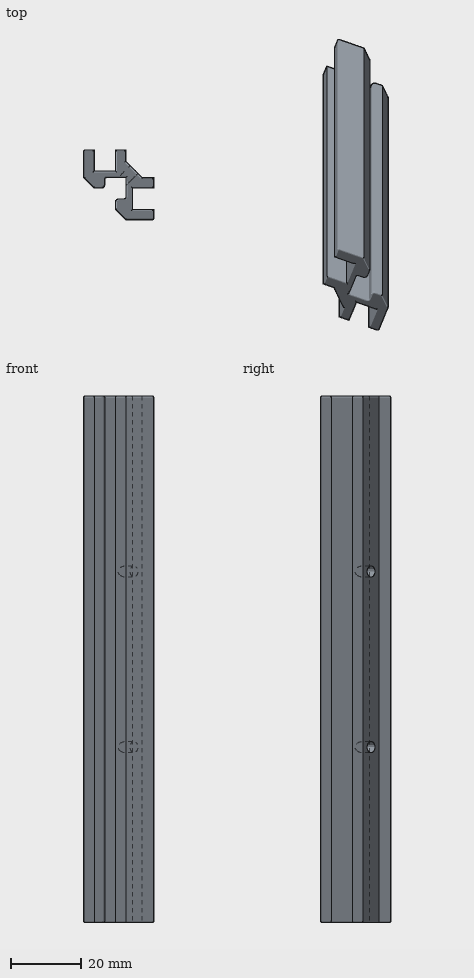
import cadquery as cq

length = 150.0
lip = 3.0
slot_width = 6.0
slot_depth = 6.0
web = 2.0
bevel_setback = 3.3
mouth_radius = 1.0
edge_radius = 0.48
hole_diameter = 3.2
hole_count = 2

slot_far = lip + slot_width
channel_inner = slot_far + lip
channel_outer = channel_inner - slot_width
slot_floor = channel_inner + web
side = slot_floor + slot_depth

channel_corner = (channel_outer, channel_inner)
channel_mouth = (channel_outer, slot_far)
lip_tip = (0, side)


def mirrored(points):
    """Reflect points about the line x = y, keeping the outline order."""
    return [(y, x) for x, y in reversed(points)]


def make_bar():
    """Extrude the sharp-edged profile."""
    half_outline = [
        channel_corner,
        channel_mouth,
        (lip, slot_far),
        (0, channel_inner),
        lip_tip,
        (lip, side),
        (lip, slot_floor),
        (slot_far, slot_floor),
        (slot_far, side),
        (channel_inner, side),
        (channel_inner, side - bevel_setback),
    ]
    outline = [(channel_inner, channel_inner)] + half_outline + mirrored(half_outline)
    return cq.Workplane("XY").polyline(outline).close().extrude(length)


def long_edges(bar, corner):
    """Lengthwise edges at a profile corner and at its reflection."""
    first, second = [
        bar.edges(cq.NearestToPointSelector((x, y, length / 2)))
        for x, y in [corner] + mirrored([corner])
    ]
    return first.add(second)


def make_hole(height):
    """Cylinder along the diagonal, from the inner channel through the back bevel."""
    start = cq.Vector(channel_outer, channel_outer, height)
    return cq.Solid.makeCylinder(hole_diameter / 2, side, start, cq.Vector(1, 1, 0))


rail = make_bar()
rail = long_edges(rail, channel_mouth).fillet(mouth_radius)
rail = long_edges(rail, channel_corner).fillet(edge_radius)
rail = long_edges(rail, lip_tip).add(rail.faces("<Z or >Z").edges()).fillet(edge_radius)
for index in range(1, hole_count + 1):
    rail = rail.cut(cq.Workplane(make_hole(index * length / (hole_count + 1))))

result = rail